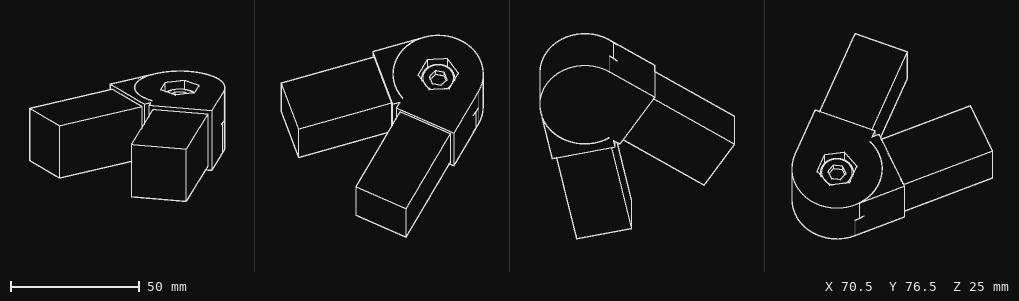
import cadquery as cq
import math

body_size = 25.0
half_height = body_size / 2
overall_length = 76.5
knuckle_radius = 17.5
body_reach = 21.0
inner_side = body_size - knuckle_radius
body_center_x = body_size / 2 - knuckle_radius
spigot_size = 21.9
spigot_reach = overall_length - knuckle_radius
pocket_clearance = 0.115
arm_angle = 45.0

recess_across_corners = 15.6
recess_angle = 15.0
head_diameter = 12.9
head_height = 8.0
head_chamfer = 0.5
head_sink = 3.0
socket_across_corners = 6.95
socket_depth = 2.9


def swapped_point(x, y):
    """Mirror a plan point across the bisector of the joint, from one arm to the other."""
    turn = math.radians(arm_angle - 180)
    return (
        x * math.cos(turn) + y * math.sin(turn),
        x * math.sin(turn) - y * math.cos(turn),
    )


def turn_over(shape):
    """Half turn about the bisector of the joint, which swaps the two arms."""
    bisector_angle = math.radians(arm_angle / 2 - 90)
    bisector = (math.cos(bisector_angle), math.sin(bisector_angle), 0)
    return shape.rotate((0, 0, 0), bisector, 180)


def make_bodies():
    """Both bodies and the round knuckle as one full-height prism."""
    crotch = (inner_side, -inner_side / math.tan(math.radians(arm_angle / 2)))
    top_angle = math.radians(90 + arm_angle / 2)
    round_top = (knuckle_radius * math.cos(top_angle), knuckle_radius * math.sin(top_angle))
    return (
        cq.Workplane("XY")
        .workplane(offset=-half_height)
        .moveTo(-knuckle_radius, 0)
        .lineTo(-knuckle_radius, -body_reach)
        .lineTo(inner_side, -body_reach)
        .lineTo(*crotch)
        .lineTo(*swapped_point(inner_side, -body_reach))
        .lineTo(*swapped_point(-knuckle_radius, -body_reach))
        .lineTo(*swapped_point(-knuckle_radius, 0))
        .threePointArc(round_top, (-knuckle_radius, 0))
        .close()
        .extrude(body_size)
    )


def make_clearance():
    """Curved gap in the upper half, from the first arm's outer side to the second arm's body."""
    pocket_radius = knuckle_radius + pocket_clearance

    def body_crossing(radius):
        return swapped_point(inner_side, -math.sqrt(radius**2 - inner_side**2))

    def arc_middle(radius):
        return (-radius * math.sqrt(0.5), -radius * math.sqrt(0.5))

    return (
        cq.Workplane("XY")
        .moveTo(-knuckle_radius, 0)
        .threePointArc(arc_middle(knuckle_radius), body_crossing(knuckle_radius))
        .lineTo(*body_crossing(pocket_radius))
        .threePointArc(arc_middle(pocket_radius), (-pocket_radius, 0))
        .close()
        .extrude(half_height)
    )


def make_spigot():
    """Square plug of the first arm, projecting from its body along -Y."""
    return (
        cq.Workplane("XY")
        .box(spigot_size, spigot_reach - body_reach, spigot_size)
        .translate((body_center_x, -(body_reach + spigot_reach) / 2, 0))
    )


def make_screw_head():
    """Chamfered cylindrical head with a hexagonal socket."""
    top = half_height - head_sink
    head = (
        cq.Workplane("XY")
        .workplane(offset=top - head_height)
        .circle(head_diameter / 2)
        .extrude(head_height)
        .faces(">Z")
        .chamfer(head_chamfer)
    )
    socket = (
        cq.Workplane("XY")
        .workplane(offset=top)
        .polygon(6, socket_across_corners)
        .extrude(-socket_depth)
    )
    return head.cut(socket)


recess = (
    cq.Workplane("XY")
    .workplane(offset=half_height)
    .transformed(rotate=(0, 0, recess_angle))
    .polygon(6, recess_across_corners)
    .extrude(-(head_sink + head_height))
)

clearance = make_clearance()
spigot = make_spigot()
joint = make_bodies().cut(clearance).cut(turn_over(clearance))
joint = joint.union(spigot).union(turn_over(spigot))
result = joint.cut(recess).union(make_screw_head())